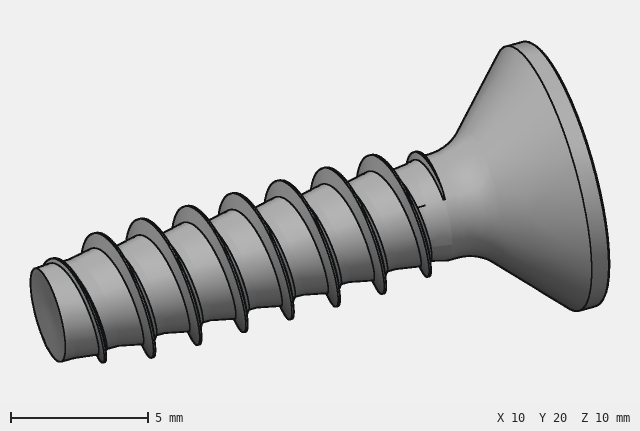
import cadquery as cq
import math

length = 20.0

head_radius = 5.0
rim_height = 0.72
rim_chamfer = 0.05
cone_angle = math.radians(45)

neck_radius = 1.95
neck_fillet = 2.0
neck_end_depth = 4.98
core_radius = 1.75
taper_end_depth = 5.8

dish_radius = 1.62
dish_depth = 0.1

pitch = 1.8
thread_height = 0.75
crest_half_width = 0.05
head_flank_width = 0.15
head_foot_width = 0.18
head_foot_height = 0.22
tip_flank_width = 0.18
tip_foot_height = 0.18
tip_foot_end = 1.22
tip_foot_sink = 0.02
root_sink = 0.12
steps_per_turn = 24

helix_start_depth = 4.7

lead_in_start_turn, lead_in_end_turn = -0.1, 0.25
lead_in_start_depth = 4.92

start_share, lead_in_end_share, end_share = 0.5, 0.6, 0.03
full_from_turn = 1.1
full_to_turn = 7.0
end_turn = 8.5


def helix_depth(turn):
    return helix_start_depth + pitch * turn


stations = [
    (lead_in_start_turn, lead_in_start_depth, start_share),
    (lead_in_end_turn, helix_depth(lead_in_end_turn), lead_in_end_share),
    (full_from_turn, helix_depth(full_from_turn), 1.0),
    (full_to_turn, helix_depth(full_to_turn), 1.0),
    (end_turn, helix_depth(end_turn), end_share),
]


def make_body():
    """Head, neck and plain core, turned about Y."""
    fillet_centre_radius = neck_radius + neck_fillet
    cone_end_radius = fillet_centre_radius - neck_fillet * math.cos(cone_angle)
    cone_end_depth = rim_height + (head_radius - cone_end_radius) / math.tan(cone_angle)
    fillet_end_depth = cone_end_depth + neck_fillet * math.sin(cone_angle)
    half_angle = cone_angle / 2
    fillet_middle = (
        fillet_centre_radius - neck_fillet * math.cos(half_angle),
        -(fillet_end_depth - neck_fillet * math.sin(half_angle)),
    )
    return (
        cq.Workplane("XY")
        .lineTo(head_radius - rim_chamfer, 0)
        .lineTo(head_radius, -rim_chamfer)
        .lineTo(head_radius, -rim_height)
        .lineTo(cone_end_radius, -cone_end_depth)
        .threePointArc(fillet_middle, (neck_radius, -fillet_end_depth))
        .lineTo(neck_radius, -neck_end_depth)
        .lineTo(core_radius, -taper_end_depth)
        .lineTo(core_radius, -length)
        .lineTo(dish_radius, -length)
        .lineTo(0, -(length - dish_depth))
        .close()
        .revolve(360, (0, 0), (0, 1))
    )


def thread_section(share):
    """Corners of the thread section as (distance from the crest towards the tip, radius)."""
    root_radius = core_radius - root_sink
    crest_radius = core_radius + share * thread_height
    head_flank_end = -crest_half_width - share * head_flank_width
    tip_flank_end = crest_half_width + share * tip_flank_width
    head_foot_slope = head_foot_height / head_foot_width
    head_foot_end = head_flank_end - share * head_foot_width - root_sink / head_foot_slope
    return [
        (head_foot_end, root_radius),
        (head_flank_end, core_radius + share * head_foot_height),
        (-crest_half_width, crest_radius),
        (crest_half_width, crest_radius),
        (tip_flank_end, core_radius + share * tip_foot_height),
        (tip_foot_end, core_radius - tip_foot_sink),
        (tip_foot_end, root_radius),
    ]


corner_count = len(thread_section(1.0))


def thread_point(corner, station):
    """Place one corner of the thread section at a station."""
    turn, depth, share = station
    offset, radius = thread_section(share)[corner]
    angle = 2 * math.pi * turn
    return cq.Vector(-radius * math.sin(angle), -(depth + offset), radius * math.cos(angle))


def between(first, last, part):
    """Station a given part of the way from one station to another."""
    return tuple(a + part * (b - a) for a, b in zip(first, last))


def corner_curve(corner, first, last):
    """Helical edge that one section corner follows between two stations."""
    turns = last[0] - first[0]
    steps = math.ceil(steps_per_turn * turns)
    points = [thread_point(corner, between(first, last, step / steps)) for step in range(steps + 1)]
    return cq.Edge.makeSpline(points)


def end_face(station):
    corners = [thread_point(corner, station) for corner in range(corner_count)]
    return cq.Face.makeFromWires(cq.Wire.makePolygon(corners, close=True))


def make_thread():
    """Lead-in, run-in, full thread and run-out, closed by a flat face at each end."""
    faces = [end_face(stations[0]), end_face(stations[-1])]
    for first, last in zip(stations, stations[1:]):
        curves = [corner_curve(corner, first, last) for corner in range(corner_count)]
        for curve, next_curve in zip(curves, curves[1:] + curves[:1]):
            faces.append(cq.Face.makeRuledSurface(curve, next_curve))
    return cq.Workplane(cq.Solid.makeSolid(cq.Shell.makeShell(faces)))


thread_zone = (
    cq.Workplane("XZ", origin=(0, -neck_end_depth, 0))
    .circle(head_radius)
    .extrude(length - neck_end_depth)
)
screw = make_body().union(make_thread().intersect(thread_zone))
result = cq.Workplane(screw.solids().val())